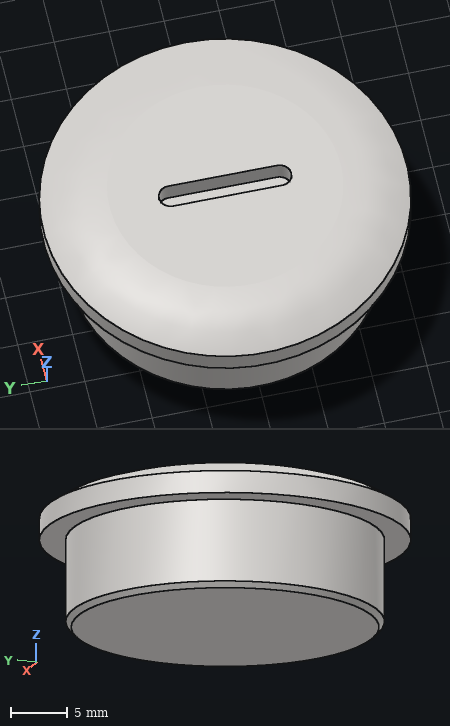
import cadquery as cq
import math

flange_diameter = 33.0
total_height = 12.0
body_diameter = 28.3
body_height = 8.0
flange_thickness = 2.0
bottom_chamfer = 0.5

flat_diameter = 21.0

slot_length = 12.0
slot_width = 2.1
slot_depth = 2.0

flange_radius = flange_diameter / 2
body_radius = body_diameter / 2
flat_radius = flat_diameter / 2
dome_base = body_height + flange_thickness

dome_width = flange_radius - flat_radius
dome_height = total_height - dome_base
dome_arc_radius = (dome_width**2 + dome_height**2) / (2 * dome_height)
half_sweep = math.asin(dome_width / dome_arc_radius) / 2
dome_midpoint = (
    flat_radius + dome_arc_radius * math.sin(half_sweep),
    total_height - dome_arc_radius * (1 - math.cos(half_sweep)),
)


def make_plug():
    """Revolve the half section of the body, flange and dome about Z."""
    return (
        cq.Workplane("XZ")
        .lineTo(body_radius - bottom_chamfer, 0)
        .lineTo(body_radius, bottom_chamfer)
        .lineTo(body_radius, body_height)
        .lineTo(flange_radius, body_height)
        .lineTo(flange_radius, dome_base)
        .threePointArc(dome_midpoint, (flat_radius, total_height))
        .lineTo(0, total_height)
        .close()
        .revolve(360, (0, 0), (0, 1))
    )


def make_coin_slot():
    """Round-ended blind slot sunk from the flat top face."""
    return (
        cq.Workplane("XY")
        .workplane(offset=total_height)
        .slot2D(slot_length, slot_width, angle=90)
        .extrude(-slot_depth)
    )


result = make_plug().cut(make_coin_slot())